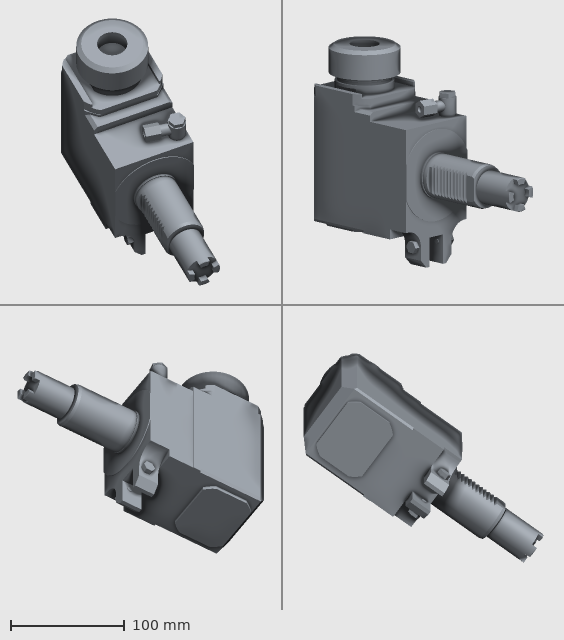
import cadquery as cq
import math


total_length = 229.8
width = 76.0
half_width = width / 2

housing_length = 124.1
housing_bottom = -55.2
shoulder_top = 47.1
step_top = 55.5
step_length = 79.8
shoulder_side_y = 37.7
column_top = 58.2
column_length = 70.0
corner_chamfer = 9.9
step_chamfer_y = 3.5
step_chamfer_z = 2.8
heel_chamfer_x = 8.3
heel_chamfer_z = 14.0
bottom_chamfer_y = 1.8
bottom_chamfer_z = 2.8
bottom_chamfer_end = 71.7

spindle_x = column_length / 2
plate_top = 64.4
plate_corner_radius = 44.4
rail_top = 68.5
rail_length = 58.0
rail_inner_y = 32.2

bottom_cover_length = 49.9
bottom_cover_width = 60.5
bottom_cover_radius = 34.0
bottom_cover_thickness = 3.5

flange_radius = 26.5
flange_top = 71.7
wrench_flat_y = 23.2
wrench_flat_top = 69.0
groove_radius = 24.1
groove_top = 74.7
neck_radius = 25.0
nut_radius = 31.7
nut_bottom = 78.1
nut_top = 104.0
nut_chamfer_radial = 4.4
nut_chamfer_axial = 3.0
bore_radius = 13.3
bore_depth = 14.5

seat_radius = 41.4
seat_thickness = 0.7
collar_radius = 20.7
collar_end = 127.0
relief_groove_radius = 19.8
relief_groove_end = 128.7
shank_radius = 20.0
shank_end = 187.5
shank_chamfer_axial = 3.0
shank_chamfer_radial = 1.0
neck_pin_radius = 12.2
tip_start = 189.2
tip_radius = 15.2
tip_chamfer = 0.5
dog_count = 4
dog_angle = 40
dog_length = 5.3
dog_inner_radius = 9.7
flat_start = 132.0
flat_y = 16.3

groove_count = 11
first_groove_x = 136.5
last_groove_x = 176.5
groove_pitch = (last_groove_x - first_groove_x) / (groove_count - 1)
groove_depth = 2.0
groove_angle = 80

lug_start = 104.4
lug_length = housing_length - lug_start
lug_bottom = -81.8
lug_outer_y = 19.0
lug_inner_y = 8.5
lug_chamfer_y = 7.0
lug_chamfer_z = 7.4
relief_radius = 16.0
relief_top = -46.2
screw_x = 116.5
screw_z = -62.7
screw_head_radius = 5.7
screw_head_height = 5.0
screw_head_turn = 30
screw_tip_radius = 2.3
screw_tip_height = 0.7

nozzle_x = 109.9
nozzle_y = 28.3
nozzle_turn = 10
nozzle_foot_radius = 7.5
nozzle_foot_top = 49.0
nozzle_body_radius = 8.0
nozzle_body_top = 64.0
nozzle_cap_radius = 7.8
nozzle_top = 68.0
arm_z = 56.3
arm_radius = 5.3
arm_hex_radius = 7.8
arm_hex_start = 15.6
arm_end = 29.9
arm_bore_radius = 3.0
arm_bore_depth = 7.0


def box(x0, x1, y0, y1, z0, z1):
    return cq.Workplane("XY").box(x1 - x0, y1 - y0, z1 - z0, centered=False).translate((x0, y0, z0))


def cylinder_z(x, y, radius, z0, z1):
    return cq.Workplane("XY", origin=(x, y, z0)).circle(radius).extrude(z1 - z0)


def cylinder_x(radius, x0, x1):
    return cq.Workplane("YZ", origin=(x0, 0, 0)).circle(radius).extrude(x1 - x0)


def hexagon(radius, turn=0):
    return cq.Sketch().regularPolygon(radius, 6, turn)


def with_mirror_y(solid):
    return solid.union(solid.mirror("XZ"))


def make_housing():
    base = box(0, step_length, -half_width, half_width, housing_bottom, shoulder_top)
    shoulder = box(
        step_length, housing_length,
        -half_width, shoulder_side_y,
        housing_bottom, shoulder_top,
    )
    step = (
        box(corner_chamfer, step_length, -half_width, half_width, 0, step_top)
        .faces(">Z")
        .edges("|X")
        .chamfer(step_chamfer_z, step_chamfer_y)
    )
    column = (
        box(0, column_length, -half_width, half_width, 0, column_top)
        .edges("|Z")
        .chamfer(corner_chamfer)
    )
    back_corners = (
        box(0, total_length, -half_width, half_width, housing_bottom, column_top)
        .edges("|Z and <X")
        .chamfer(corner_chamfer)
    )
    heel = (
        cq.Workplane("XZ")
        .moveTo(0, housing_bottom)
        .lineTo(heel_chamfer_x, housing_bottom)
        .lineTo(0, housing_bottom + heel_chamfer_z)
        .close()
        .extrude(half_width, both=True)
    )
    bottom_edge = (
        cq.Workplane("YZ")
        .moveTo(half_width, housing_bottom)
        .lineTo(half_width - bottom_chamfer_y, housing_bottom)
        .lineTo(half_width, housing_bottom + bottom_chamfer_z)
        .close()
        .extrude(bottom_chamfer_end)
    )
    housing = base.union(shoulder).union(step).union(column).intersect(back_corners)
    return housing.cut(heel).cut(with_mirror_y(bottom_edge))


def make_cover_plate():
    plate = box(0, column_length, -half_width, half_width, column_top, plate_top)
    rail = box(
        spindle_x - rail_length / 2, spindle_x + rail_length / 2,
        rail_inner_y, half_width,
        column_top, rail_top,
    )
    corners = cylinder_z(spindle_x, 0, plate_corner_radius, column_top, rail_top)
    return plate.union(with_mirror_y(rail)).intersect(corners)


def make_bottom_cover():
    cover_bottom = housing_bottom - bottom_cover_thickness
    plate = box(
        spindle_x - bottom_cover_length / 2, spindle_x + bottom_cover_length / 2,
        -bottom_cover_width / 2, bottom_cover_width / 2,
        cover_bottom, housing_bottom,
    )
    return plate.intersect(cylinder_z(spindle_x, 0, bottom_cover_radius, cover_bottom, housing_bottom))


def make_spindle():
    flange = cylinder_z(spindle_x, 0, flange_radius, plate_top, flange_top)
    flat = box(0, column_length, wrench_flat_y, half_width, plate_top, wrench_flat_top)
    groove = cylinder_z(spindle_x, 0, groove_radius, flange_top, groove_top)
    neck = cylinder_z(spindle_x, 0, neck_radius, groove_top, nut_bottom)
    nut = (
        cylinder_z(spindle_x, 0, nut_radius, nut_bottom, nut_top)
        .faces(">Z")
        .edges()
        .chamfer(nut_chamfer_axial, nut_chamfer_radial)
    )
    bore = cylinder_z(spindle_x, 0, bore_radius, nut_top - bore_depth, nut_top)
    return flange.cut(with_mirror_y(flat)).union(groove).union(neck).union(nut).cut(bore)


def make_clamping_teeth_cut():
    flat = box(flat_start, shank_end, -collar_radius, -flat_y, -collar_radius, collar_radius)
    half_groove = groove_depth * math.tan(math.radians(groove_angle / 2))
    groove = (
        cq.Workplane("XY")
        .moveTo(-half_groove, -flat_y)
        .lineTo(0, -flat_y + groove_depth)
        .lineTo(half_groove, -flat_y)
        .close()
        .extrude(collar_radius, both=True)
    )
    cut = flat
    for i in range(groove_count):
        cut = cut.union(groove.translate((first_groove_x + i * groove_pitch, 0, 0)))
    return cut


def make_tip():
    dog_base = total_length - dog_length
    tip = (
        cylinder_x(tip_radius, tip_start, total_length)
        .faces(">X")
        .edges()
        .chamfer(tip_chamfer)
        .cut(cylinder_x(dog_inner_radius, dog_base, total_length))
    )
    dog_pitch = 360 / dog_count
    half_gap = math.radians((dog_pitch - dog_angle) / 2)
    reach = 2 * tip_radius
    gap = (
        cq.Workplane("YZ", origin=(dog_base, 0, 0))
        .lineTo(reach * math.cos(half_gap), reach * math.sin(half_gap))
        .lineTo(reach * math.cos(half_gap), -reach * math.sin(half_gap))
        .close()
        .extrude(dog_length)
    )
    for i in range(dog_count):
        tip = tip.cut(gap.rotate((0, 0, 0), (1, 0, 0), (i + 0.5) * dog_pitch))
    return tip


def make_shank():
    seat_end = housing_length + seat_thickness
    seat = cylinder_x(seat_radius, housing_length, seat_end).intersect(
        box(housing_length, seat_end, -half_width, half_width, -seat_radius, seat_radius)
    )
    collar = cylinder_x(collar_radius, seat_end, collar_end)
    relief_groove = cylinder_x(relief_groove_radius, collar_end, relief_groove_end)
    body = (
        cylinder_x(shank_radius, relief_groove_end, shank_end)
        .faces(">X")
        .edges()
        .chamfer(shank_chamfer_axial, shank_chamfer_radial)
        .cut(make_clamping_teeth_cut())
    )
    pin = cylinder_x(neck_pin_radius, shank_end, tip_start)
    return (
        seat.union(collar)
        .union(relief_groove)
        .union(body)
        .union(pin)
        .union(make_tip())
    )


def make_screw_relief():
    arc_y = lug_outer_y + relief_radius
    arc_z = relief_top - relief_radius
    diagonal = relief_radius * math.sqrt(0.5)
    relief = (
        cq.Workplane("YZ", origin=(lug_start, 0, 0))
        .moveTo(lug_outer_y, lug_bottom)
        .lineTo(lug_outer_y, arc_z)
        .threePointArc((arc_y - diagonal, arc_z + diagonal), (arc_y, relief_top))
        .lineTo(half_width, relief_top)
        .lineTo(half_width, lug_bottom)
        .close()
        .extrude(lug_length)
    )
    return with_mirror_y(relief)


def make_lugs():
    lug = (
        cq.Workplane("YZ", origin=(lug_start, 0, 0))
        .moveTo(lug_inner_y, relief_top)
        .lineTo(lug_inner_y, lug_bottom)
        .lineTo(lug_outer_y - lug_chamfer_y, lug_bottom)
        .lineTo(lug_outer_y, lug_bottom + lug_chamfer_z)
        .lineTo(lug_outer_y, relief_top - relief_radius)
        .lineTo(lug_outer_y + relief_radius, relief_top)
        .close()
        .extrude(lug_length)
    )
    return with_mirror_y(lug)


def make_lug_screws():
    axis = cq.Workplane("XZ", origin=(screw_x, 0, screw_z))
    head = (
        axis.workplane(offset=-lug_outer_y)
        .placeSketch(hexagon(screw_head_radius, screw_head_turn))
        .extrude(-screw_head_height)
    )
    tip = axis.workplane(offset=-lug_inner_y).circle(screw_tip_radius).extrude(screw_tip_height)
    return with_mirror_y(head.union(tip))


def make_nozzle():
    foot = cylinder_z(0, 0, nozzle_foot_radius, shoulder_top, nozzle_foot_top)
    body = cylinder_z(0, 0, nozzle_body_radius, nozzle_foot_top, nozzle_body_top)
    cap = (
        cq.Workplane("XY", origin=(0, 0, nozzle_body_top))
        .placeSketch(hexagon(nozzle_cap_radius))
        .extrude(nozzle_top - nozzle_body_top)
    )
    arm_axis = cq.Workplane("XZ", origin=(0, 0, arm_z))
    arm = arm_axis.circle(arm_radius).extrude(arm_hex_start)
    arm_hex = (
        arm_axis.workplane(offset=arm_hex_start)
        .placeSketch(hexagon(arm_hex_radius))
        .extrude(arm_end - arm_hex_start)
    )
    bore = arm_axis.workplane(offset=arm_end).circle(arm_bore_radius).extrude(-arm_bore_depth)
    nozzle = foot.union(body).union(cap).union(arm).union(arm_hex).cut(bore)
    return nozzle.rotate((0, 0, 0), (0, 0, 1), -nozzle_turn).translate((nozzle_x, nozzle_y, 0))


result = (
    make_housing()
    .union(make_lugs())
    .cut(make_screw_relief())
    .union(make_lug_screws())
    .union(make_cover_plate())
    .union(make_bottom_cover())
    .union(make_spindle())
    .union(make_shank())
    .union(make_nozzle())
)